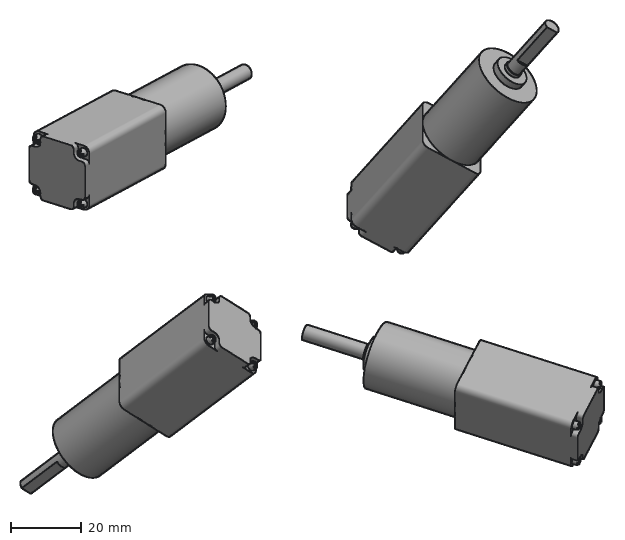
import cadquery as cq

total_length = 87.7
body_width = 20.0
rear_y = -total_length / 2
shaft_tip_y = total_length / 2

motor_length = 37.6
motor_edge_radius = 2.0
motor_front_y = rear_y + motor_length

gearbox_length = 28.1
pilot_diameter = 10.0
pilot_length = 2.1
collar_diameter = 5.2
collar_length = 1.05
gearbox_front_y = motor_front_y + gearbox_length
pilot_front_y = gearbox_front_y + pilot_length
collar_front_y = pilot_front_y + collar_length

shaft_diameter = 4.65
flat_length = 14.8
flat_depth = 0.8

screw_inset = 2.0
pocket_depth = 2.0
pocket_corner_radius = 2.0
pocket_edge_radius = 1.05
pocket_size = screw_inset + pocket_corner_radius
pocket_floor_y = rear_y + pocket_depth

head_diameter = 2.5
head_rim_height = 1.05
head_height = 1.9
head_top_diameter = 1.2
recess_span = 2.1
recess_width = 0.5
recess_depth = 0.5


def cylinder(diameter, start_y, end_y):
    """Cylinder on the part axis between two Y positions."""
    base = cq.Workplane("XZ", origin=(0, start_y, 0))
    return base.circle(diameter / 2).extrude(start_y - end_y)


def motor_housing():
    housing = cq.Workplane("XY").box(body_width, motor_length, body_width)
    housing = housing.edges("|Y").fillet(motor_edge_radius)
    return housing.translate((0, rear_y + motor_length / 2, 0))


def output_shaft():
    shaft = cylinder(shaft_diameter, collar_front_y, shaft_tip_y)
    flat_cut = cq.Workplane("XY").box(shaft_diameter, flat_length, flat_depth, centered=(True, False, False))
    return shaft.cut(flat_cut.translate((0, shaft_tip_y - flat_length, -shaft_diameter / 2)))


def corner_pocket():
    """Cutter for the +X +Z corner, flaring tangentially into the two outer sides."""
    outer = body_width / 2
    wall = outer - pocket_size
    inner_round = wall + pocket_corner_radius
    flare = outer - pocket_edge_radius
    flare_end = wall - pocket_edge_radius
    return (
        cq.Workplane("XZ", origin=(0, pocket_floor_y, 0))
        .moveTo(outer, outer)
        .lineTo(flare_end, outer)
        .radiusArc((wall, flare), pocket_edge_radius)
        .lineTo(wall, inner_round)
        .radiusArc((inner_round, wall), -pocket_corner_radius)
        .lineTo(flare, wall)
        .radiusArc((outer, flare_end), pocket_edge_radius)
        .close()
        .extrude(pocket_depth)
    )


def screw_head():
    """Screw head standing on the pocket floor of the +X +Z corner."""
    screw_offset = body_width / 2 - screw_inset
    head = (
        cq.Workplane("XY")
        .lineTo(head_diameter / 2, 0)
        .lineTo(head_diameter / 2, -head_rim_height)
        .tangentArcPoint((head_top_diameter / 2, -head_height), relative=False)
        .lineTo(0, -head_height)
        .close()
        .revolve(360, (0, 0, 0), (0, 1, 0))
    )
    slot = cq.Workplane("XY").box(recess_span, recess_depth, recess_width, centered=(True, False, True))
    slot = slot.translate((0, -head_height, 0))
    cross = slot.union(slot.rotate((0, 0, 0), (0, 1, 0), 90))
    return head.cut(cross).translate((screw_offset, pocket_floor_y, screw_offset))


result = (
    motor_housing()
    .union(cylinder(body_width, motor_front_y, gearbox_front_y))
    .union(cylinder(pilot_diameter, gearbox_front_y, pilot_front_y))
    .union(cylinder(collar_diameter, pilot_front_y, collar_front_y))
    .union(output_shaft())
)
pocket = corner_pocket()
head = screw_head()
for quarter_turn in range(4):
    angle = 90 * quarter_turn
    result = result.cut(pocket.rotate((0, 0, 0), (0, 1, 0), angle))
    result = result.union(head.rotate((0, 0, 0), (0, 1, 0), angle))